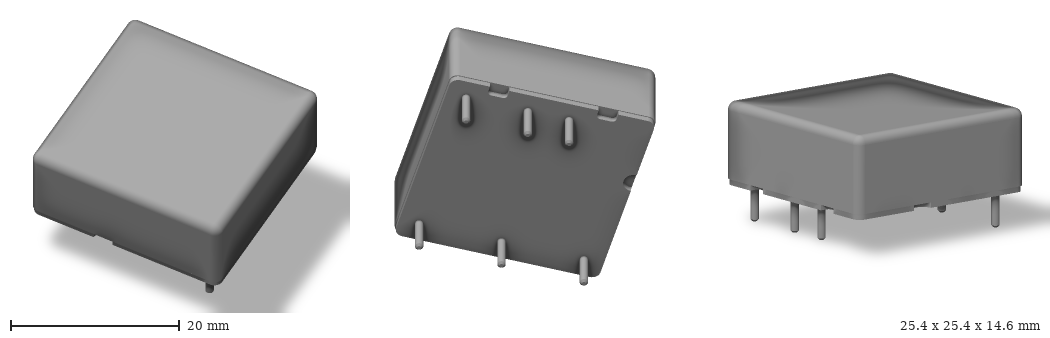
import cadquery as cq

case_side = 25.4
case_corner_radius = 1.05
overall_height = 14.6
body_height = 10.16

plate_thickness = 0.7
plate_inset = 0.1
plate_side = case_side - 2 * plate_inset

round_notch_radius = 1.27
round_notch_x = -2.87
slot_notch_width = 2.42
slot_notch_depth = 1.27
slot_notch_corner_radius = 0.5
slot_notch_y = 6.71

pitch = 2.54
pin_diameter = 1.0
pin_length = overall_height - body_height
pin_tip_chamfer = 0.25
row_offset = 4 * pitch
input_row_y = [-pitch, pitch, row_offset]
output_row_y = [-row_offset, 0, row_offset]


def make_case():
    """Square block with rounded vertical and top edges; the underside is left sharp."""
    case_height = body_height - plate_thickness
    block = (
        cq.Workplane("XY")
        .workplane(offset=plate_thickness)
        .rect(case_side, case_side)
        .extrude(case_height)
    )
    return block.edges("|Z or >Z").fillet(case_corner_radius)


def round_notch():
    """Half-round cutter centred on the front edge of the plate."""
    return (
        cq.Workplane("XY")
        .center(round_notch_x, -plate_side / 2)
        .circle(round_notch_radius)
        .extrude(plate_thickness)
    )


def slot_notch(y):
    """Rectangular cutter on the left edge of the plate, with rounded inner corners."""
    return (
        cq.Workplane("XY")
        .center(-plate_side / 2, y)
        .rect(2 * slot_notch_depth, slot_notch_width)
        .extrude(plate_thickness)
        .edges("|Z")
        .fillet(slot_notch_corner_radius)
    )


def make_plate():
    """Thin plate, slightly smaller than the case, notched along its front and left edges."""
    plate = (
        cq.Workplane("XY")
        .rect(plate_side, plate_side)
        .extrude(plate_thickness)
        .edges("|Z")
        .fillet(case_corner_radius)
        .cut(round_notch())
    )
    for y in (-slot_notch_y, slot_notch_y):
        plate = plate.cut(slot_notch(y))
    return plate


def make_pin(x, y):
    """Round pin hanging below the plate, chamfered at its tip."""
    return (
        cq.Workplane("XY")
        .center(x, y)
        .circle(pin_diameter / 2)
        .extrude(-pin_length)
        .faces("<Z")
        .chamfer(pin_tip_chamfer)
    )


result = make_case().union(make_plate())
for row_x, row_y in ((-row_offset, input_row_y), (row_offset, output_row_y)):
    for pin_y in row_y:
        result = result.union(make_pin(row_x, pin_y))